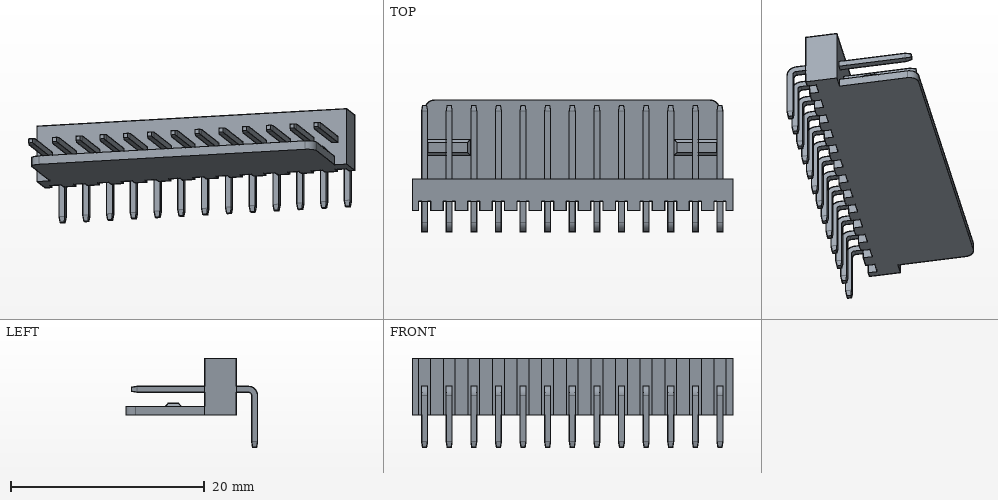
import cadquery as cq

BLOCK_LENGTH = 33.1
BLOCK_DEPTH = 3.28
BLOCK_HEIGHT = 5.85

PIN_COUNT = 13
FIRST_PIN_X = 1.25
PIN_ROW_LENGTH = 30.5
PIN_PITCH = PIN_ROW_LENGTH / (PIN_COUNT - 1)
PIN_SIZE = 0.63
PIN_TOP = 2.98
PIN_BACK_REACH = 7.58
PIN_FRONT_REACH = 2.2
PIN_DROP = 3.35
BEND_OUTER_RADIUS = 0.95
BEND_INNER_RADIUS = BEND_OUTER_RADIUS - PIN_SIZE
TIP_LENGTH = 0.6
TIP_INSET = 0.1

SLOT_WIDTH = 1.22
SLOT_DEPTH = 0.95

TONGUE_WIDTH = 30.42
TONGUE_LENGTH = 8.15
TONGUE_THICKNESS = 0.9
TONGUE_CORNER_RADIUS = 1.0
TONGUE_LEFT = FIRST_PIN_X + (PIN_ROW_LENGTH - TONGUE_WIDTH) / 2
TONGUE_RIGHT = TONGUE_LEFT + TONGUE_WIDTH

LATCH_LENGTH = 4.7
LATCH_WIDTH = 1.65
LATCH_HEIGHT = 0.33
LATCH_SLOPE_RUN = 0.3
LATCH_BACK_Y = 4.07

pin_positions = [FIRST_PIN_X + i * PIN_PITCH for i in range(PIN_COUNT)]


def make_block():
    """Rectangular block with full-height slots in its front face."""
    block = cq.Workplane("XY").box(BLOCK_LENGTH, BLOCK_DEPTH, BLOCK_HEIGHT, centered=False)
    block = block.translate((0, -BLOCK_DEPTH, 0))
    for x in pin_positions:
        slot = cq.Workplane("XY").box(SLOT_WIDTH, SLOT_DEPTH, BLOCK_HEIGHT, centered=False)
        block = block.cut(slot.translate((x - SLOT_WIDTH / 2, -BLOCK_DEPTH, 0)))
    return block


def make_tongue():
    """Flat plate with rounded back corners."""
    tongue = cq.Workplane("XY").box(TONGUE_WIDTH, TONGUE_LENGTH, TONGUE_THICKNESS, centered=False)
    tongue = tongue.edges("|Z and >Y").fillet(TONGUE_CORNER_RADIUS)
    return tongue.translate((TONGUE_LEFT, 0, 0))


def make_tip(plane):
    """Tapered pin end, centred on the plane's origin and growing along its normal."""
    end = PIN_SIZE - 2 * TIP_INSET
    return (
        cq.Workplane(plane)
        .rect(PIN_SIZE, PIN_SIZE)
        .workplane(offset=TIP_LENGTH)
        .rect(end, end)
        .loft(ruled=True)
    )


def make_pin(x):
    """L-shaped pin centred at X = x: straight back through the block, bent down in front of it."""
    half = PIN_SIZE / 2
    front = -BLOCK_DEPTH - PIN_FRONT_REACH
    back = PIN_BACK_REACH - TIP_LENGTH
    bottom = TIP_LENGTH - PIN_DROP
    pin = (
        cq.Workplane("YZ", origin=(x - half, 0, 0))
        .moveTo(back, PIN_TOP)
        .lineTo(front + BEND_OUTER_RADIUS, PIN_TOP)
        .radiusArc((front, PIN_TOP - BEND_OUTER_RADIUS), -BEND_OUTER_RADIUS)
        .lineTo(front, bottom)
        .lineTo(front + PIN_SIZE, bottom)
        .lineTo(front + PIN_SIZE, PIN_TOP - BEND_OUTER_RADIUS)
        .radiusArc((front + BEND_OUTER_RADIUS, PIN_TOP - PIN_SIZE), BEND_INNER_RADIUS)
        .lineTo(back, PIN_TOP - PIN_SIZE)
        .close()
        .extrude(PIN_SIZE)
    )
    back_plane = cq.Plane((x, back, PIN_TOP - half), xDir=(1, 0, 0), normal=(0, 1, 0))
    bottom_plane = cq.Plane((x, front + half, bottom), xDir=(1, 0, 0), normal=(0, 0, -1))
    return pin.union(make_tip(back_plane)).union(make_tip(bottom_plane))


def make_header():
    """Block, tongue and moulded-in pins joined as one body."""
    header = make_block().union(make_tongue())
    for x in pin_positions:
        header = header.union(make_pin(x))
    return header


def make_latch(left):
    """Flat-topped bump with four sloped sides, its left end at X = left."""
    center_x = left + LATCH_LENGTH / 2
    center_y = LATCH_BACK_Y - LATCH_WIDTH / 2
    return (
        cq.Workplane("XY", origin=(center_x, center_y, TONGUE_THICKNESS))
        .rect(LATCH_LENGTH, LATCH_WIDTH)
        .workplane(offset=LATCH_HEIGHT)
        .rect(LATCH_LENGTH - 2 * LATCH_SLOPE_RUN, LATCH_WIDTH - 2 * LATCH_SLOPE_RUN)
        .loft(ruled=True)
    )


header = make_header()
latches = [make_latch(left) for left in (TONGUE_LEFT, TONGUE_RIGHT - LATCH_LENGTH)]

result = cq.Compound.makeCompound([header.val(), *[latch.val() for latch in latches]])